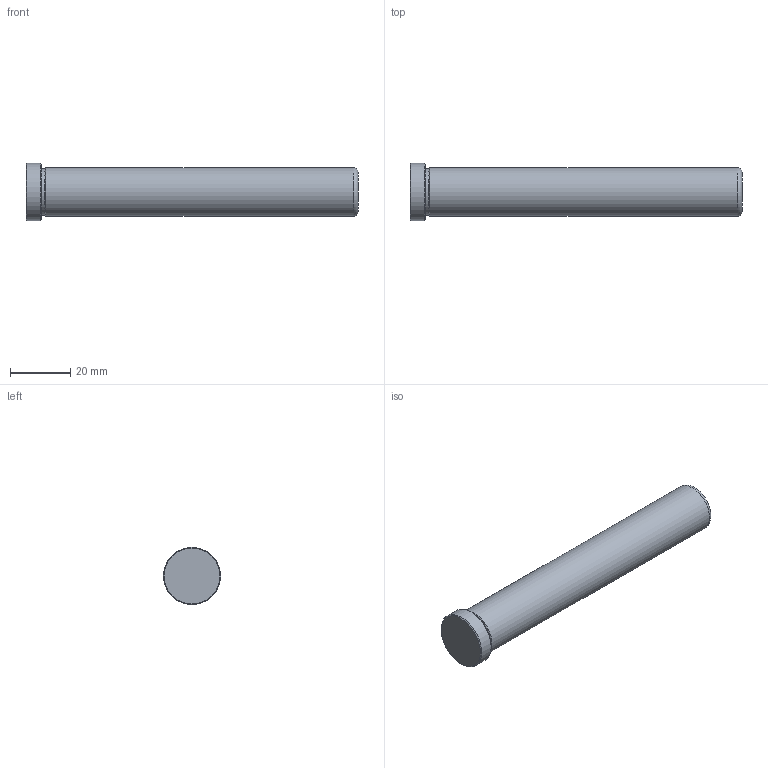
import cadquery as cq

total_length = 110.0

head_diameter = 19.0
head_length = 5.0
head_chamfer = 0.3

groove_diameter = 15.4
groove_width = 1.5

shank_diameter = 16.0
tip_radius = 1.5


def make_head():
    head = cq.Workplane("YZ").circle(head_diameter / 2).extrude(head_length)
    return head.faces("<X or >X").edges().chamfer(head_chamfer)


def make_shank():
    """Groove neck, its run-out and the shank, revolved about the X axis."""
    groove_radius = groove_diameter / 2
    shank_radius = shank_diameter / 2
    groove_end = head_length + groove_width
    run_out_start = groove_end - (shank_radius - groove_radius)
    profile = (
        cq.Workplane("XZ")
        .moveTo(head_length, 0)
        .lineTo(head_length, groove_radius)
        .lineTo(run_out_start, groove_radius)
        .lineTo(groove_end, shank_radius)
        .lineTo(total_length, shank_radius)
        .lineTo(total_length, 0)
        .close()
    )
    shank = profile.revolve(360, (0, 0, 0), (1, 0, 0))
    return shank.faces(">X").edges().fillet(tip_radius)


result = make_head().union(make_shank())